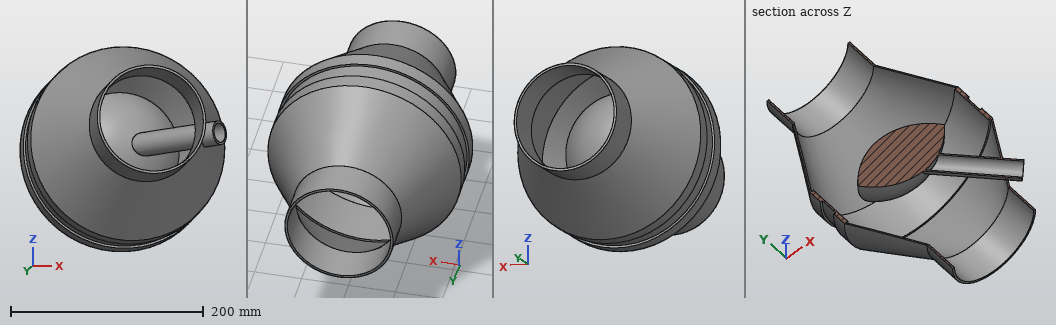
import cadquery as cq
import math

length = 290.0
casing_dia = 206.0
casing_bore = 201.0
sleeve_bore = 196.0
spigot_dia = 115.0
spigot_bore = 110.0
spigot_length = 40.0
groove_width = 20.3
band_width = 16.8

dome_radius = 74.0
hub_depth = 62.0

tube_dia = 25.0
tube_bore = 20.0
tube_angle = 43.0
tube_end_x = 82.5
tube_end_y = -97.2
tube_length = 110.2

half_length = length / 2
cone_end = half_length - spigot_length
groove_end = groove_width / 2
band_end = groove_end + band_width


def revolve_about_y(half_profile):
    """Revolve the (radius, y) points of the +Y half, mirrored to -Y."""
    mirrored = [(radius, -y) for radius, y in reversed(half_profile)]
    return cq.Workplane("XY").polyline(half_profile + mirrored).close().revolve(360, (0, 0), (0, 1))


def make_envelope():
    return revolve_about_y([
        (0, half_length),
        (spigot_dia / 2, half_length),
        (spigot_dia / 2, cone_end),
        (casing_dia / 2, band_end),
        (casing_dia / 2, groove_end),
        (casing_bore / 2, groove_end),
    ])


def make_cavity():
    return revolve_about_y([
        (0, half_length),
        (spigot_bore / 2, half_length),
        (spigot_bore / 2, cone_end),
        (casing_bore / 2, band_end),
        (sleeve_bore / 2, band_end),
    ])


def make_hub():
    """Lens shape shared by two overlapping balls."""
    ball = cq.Workplane("XY").sphere(dome_radius)
    center_offset = dome_radius - hub_depth / 2
    front_dome = ball.translate((0, center_offset, 0))
    rear_dome = ball.translate((0, -center_offset, 0))
    return front_dome.intersect(rear_dome)


def make_rod(diameter):
    """Solid rod from the open tube end inward to the hub."""
    angle = math.radians(tube_angle)
    inward = (-math.sin(angle), math.cos(angle), 0)
    plane = cq.Plane(origin=(tube_end_x, tube_end_y, 0), xDir=(0, 0, 1), normal=inward)
    return cq.Workplane(plane).circle(diameter / 2).extrude(tube_length)


casing = make_envelope().cut(make_cavity())
hub = make_hub()
tube = make_rod(tube_dia)
passage = make_rod(tube_bore).cut(hub)
result = casing.union(tube).cut(passage).union(hub)